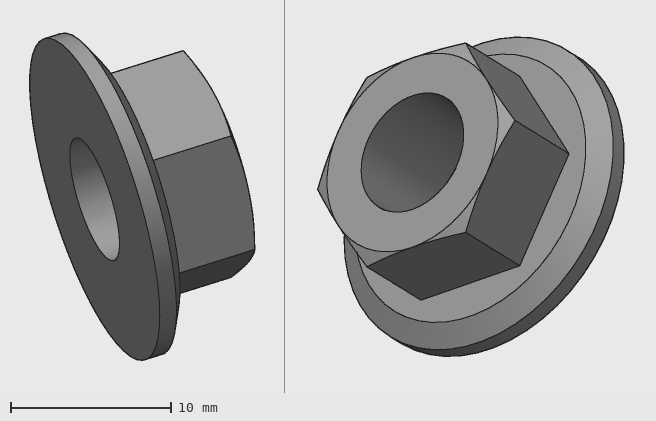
import cadquery as cq
import math

flange_diameter = 21.0
total_height = 8.0
flange_height = 2.0
flange_rim_height = 1.13
flange_slope_angle = 30.0
bore_diameter = 8.0
across_flats = 13.34
crown_angle = 21.0

flange_radius = flange_diameter / 2
flange_slope_run = (flange_height - flange_rim_height) / math.tan(math.radians(flange_slope_angle))
flange_top_radius = flange_radius - flange_slope_run
across_corners = across_flats / math.cos(math.radians(30))


def revolve_about_y(points):
    """Revolve a closed (radius, height) outline around the Y axis."""
    return cq.Workplane("XY").polyline(points).close().revolve(360, (0, 0), (0, 1))


def make_flange():
    """Disc with a straight rim and a conical upper edge."""
    return revolve_about_y([
        (0, 0),
        (flange_radius, 0),
        (flange_radius, flange_rim_height),
        (flange_top_radius, flange_height),
        (0, flange_height),
    ])


def make_hexagon():
    """Hexagon with corners on X, its top crowned by a cone that meets the flats at the top face."""
    crown_radius = across_flats / 2
    crown_drop = (flange_radius - crown_radius) * math.tan(math.radians(crown_angle))
    crown = revolve_about_y([
        (0, 0),
        (flange_radius, 0),
        (flange_radius, total_height - crown_drop),
        (crown_radius, total_height),
        (0, total_height),
    ])
    prism = cq.Workplane("XZ").polygon(6, across_corners).extrude(-total_height)
    return prism.intersect(crown)


bore = cq.Workplane("XZ").circle(bore_diameter / 2).extrude(-total_height)
result = make_flange().union(make_hexagon()).cut(bore)